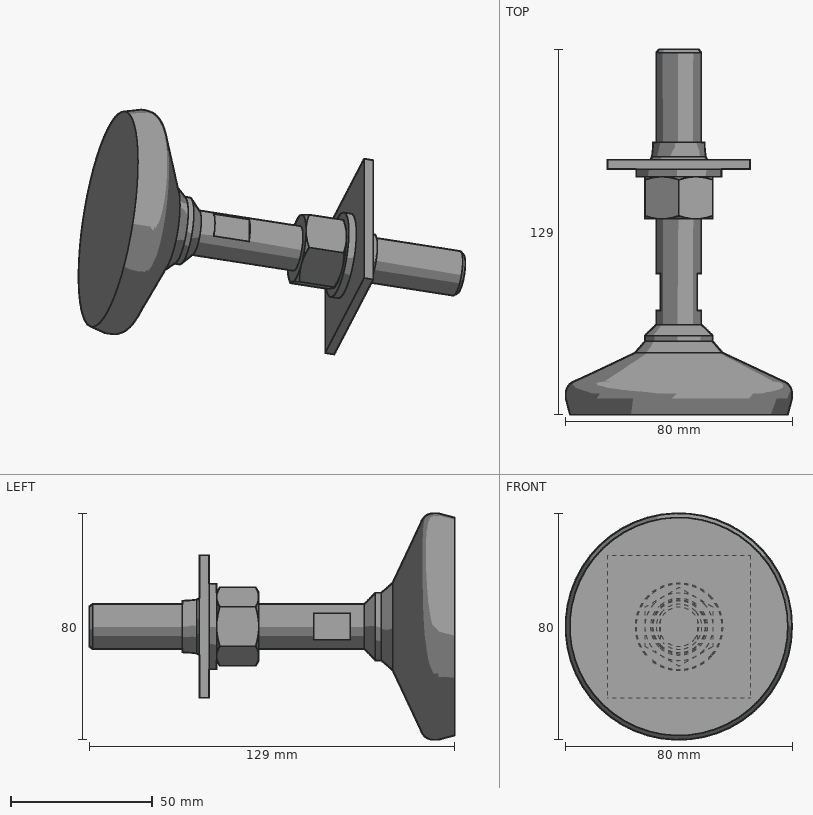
import cadquery as cq
import math

total_length = 129.0

foot_radius = 40.0
sole_radius = 38.5
rim_start = 5.8
rim_end = 7.5
shoulder_start = 12.0
shoulder_radius = 36.6
cone_end = 21.9
cone_end_radius = 15.5
neck_start = 25.9
neck_radius = 12.0
neck_end = 28.0
neck_taper_end = 31.9

rod_radius = 8.0
rod_chamfer_length = 1.3
rod_chamfer_depth = 1.0
flats_start = 36.9
flats_length = 12.9
flats_width = 13.0

nut_start = 69.1
nut_height = 14.8
nut_across_flats = 24.0
nut_chamfer_angle = 30.0

washer_radius = 15.1
washer_thickness = 2.7
plate_side = 50.3
plate_thickness = 3.4
collar_length = 6.0
collar_radius = 9.2
flare_height = 1.0
flare_top_radius = 9.5
flare_base_radius = 10.0

washer_start = nut_start + nut_height
plate_start = washer_start + washer_thickness
collar_start = plate_start + plate_thickness
collar_end = collar_start + collar_length


def revolve_about_y(profile):
    """Revolve a closed profile in the XY plane about the Y axis."""
    return profile.close().revolve(360, (0, 0, 0), (0, 1, 0))


def cylinder(radius, start, length):
    return cq.Workplane("XZ", origin=(0, start, 0)).circle(radius).extrude(-length)


def make_foot():
    return revolve_about_y(
        cq.Workplane("XY")
        .lineTo(sole_radius, 0)
        .lineTo(foot_radius, rim_start)
        .lineTo(foot_radius, rim_end)
        .tangentArcPoint((shoulder_radius, shoulder_start), relative=False)
        .lineTo(cone_end_radius, cone_end)
        .lineTo(neck_radius, neck_start)
        .lineTo(neck_radius, neck_end)
        .lineTo(rod_radius, neck_taper_end)
        .lineTo(0, neck_taper_end)
    )


def make_rod():
    rod = revolve_about_y(
        cq.Workplane("XY")
        .lineTo(rod_radius, 0)
        .lineTo(rod_radius, total_length - rod_chamfer_length)
        .lineTo(rod_radius - rod_chamfer_depth, total_length)
        .lineTo(0, total_length)
    )
    flats_middle = flats_start + flats_length / 2
    for side in (-1, 1):
        cutter_center = side * (flats_width / 2 + rod_radius)
        cutter = cq.Workplane("XY").box(2 * rod_radius, flats_length, 2 * rod_radius)
        rod = rod.cut(cutter.translate((cutter_center, flats_middle, 0)))
    return rod


def make_nut():
    corner_radius = nut_across_flats / 2 / math.cos(math.radians(30))
    corner_angles = [math.radians(30 + 60 * i) for i in range(6)]
    corners = [(corner_radius * math.cos(a), corner_radius * math.sin(a)) for a in corner_angles]
    hexagon = cq.Workplane("XZ", origin=(0, nut_start, 0)).polyline(corners).close().extrude(-nut_height)
    face_radius = nut_across_flats / 2
    chamfer_height = (corner_radius - face_radius) * math.tan(math.radians(nut_chamfer_angle))
    envelope = revolve_about_y(
        cq.Workplane("XY")
        .moveTo(0, nut_start)
        .lineTo(face_radius, nut_start)
        .lineTo(corner_radius, nut_start + chamfer_height)
        .lineTo(corner_radius, washer_start - chamfer_height)
        .lineTo(face_radius, washer_start)
        .lineTo(0, washer_start)
    )
    return hexagon.intersect(envelope)


def make_plate():
    return (
        cq.Workplane("XZ", origin=(0, plate_start, 0))
        .rect(plate_side, plate_side)
        .extrude(-plate_thickness)
    )


def make_collar():
    flare_top = collar_start + flare_height
    wall_middle = (flare_top + collar_end) / 2
    wall_middle_radius = collar_radius + (flare_top_radius - collar_radius) / 4
    return revolve_about_y(
        cq.Workplane("XY")
        .moveTo(0, collar_start)
        .lineTo(0, collar_end)
        .lineTo(collar_radius, collar_end)
        .threePointArc((wall_middle_radius, wall_middle), (flare_top_radius, flare_top))
        .lineTo(flare_base_radius, collar_start)
    )


result = (
    make_foot()
    .union(make_rod())
    .union(make_nut())
    .union(cylinder(washer_radius, washer_start, washer_thickness))
    .union(make_plate())
    .union(make_collar())
)